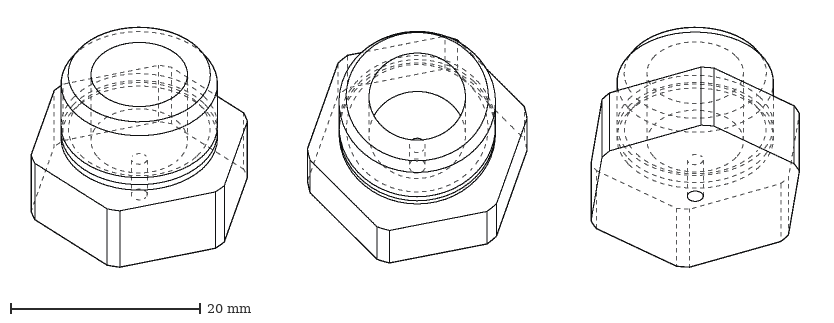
import cadquery as cq
import math

side_count = 6
across_flats = 21.0
head_diameter = 23.5
head_height = 8.0

total_height = 17.0
spigot_diameter = 16.55
tip_diameter = 15.05
tip_chamfer_height = 1.3

collar_height = 0.78
groove_width = 0.99
groove_root_radius = 0.15
flank_tilt = math.radians(27.5)

bore_diameter = 10.2
bore_depth = 9.4
hole_diameter = 1.7
cone_angle = 118.0


def revolve_about_z(profile):
    return profile.revolve(360, (0, 0), (0, 1))


def make_head():
    across_corners = across_flats / math.cos(math.pi / side_count)
    hexagon = cq.Workplane("XY").polygon(side_count, across_corners).extrude(head_height)
    round_blank = cq.Workplane("XY").circle(head_diameter / 2).extrude(head_height)
    return hexagon.intersect(round_blank)


def make_spigot():
    radius = spigot_diameter / 2
    groove_bottom = head_height + collar_height
    groove_middle = groove_bottom + groove_width / 2
    groove_top = groove_bottom + groove_width

    sharp_root = radius - groove_width / 2 / math.tan(flank_tilt)
    root_centre = sharp_root + groove_root_radius / math.sin(flank_tilt)
    root = root_centre - groove_root_radius
    tangent_radius = root_centre - groove_root_radius * math.sin(flank_tilt)
    tangent_rise = groove_root_radius * math.cos(flank_tilt)

    profile = (
        cq.Workplane("XZ")
        .moveTo(0, head_height)
        .lineTo(radius, head_height)
        .lineTo(radius, groove_bottom)
        .lineTo(tangent_radius, groove_middle - tangent_rise)
        .threePointArc((root, groove_middle), (tangent_radius, groove_middle + tangent_rise))
        .lineTo(radius, groove_top)
        .lineTo(radius, total_height - tip_chamfer_height)
        .lineTo(tip_diameter / 2, total_height)
        .lineTo(0, total_height)
        .close()
    )
    return revolve_about_z(profile)


def make_bore():
    bore_radius = bore_diameter / 2
    hole_radius = hole_diameter / 2
    bore_floor = total_height - bore_depth
    cone_depth = (bore_radius - hole_radius) / math.tan(math.radians(cone_angle / 2))
    profile = [
        (0, 0),
        (hole_radius, 0),
        (hole_radius, bore_floor - cone_depth),
        (bore_radius, bore_floor),
        (bore_radius, total_height),
        (0, total_height),
    ]
    return revolve_about_z(cq.Workplane("XZ").polyline(profile).close())


result = make_head().union(make_spigot()).cut(make_bore())